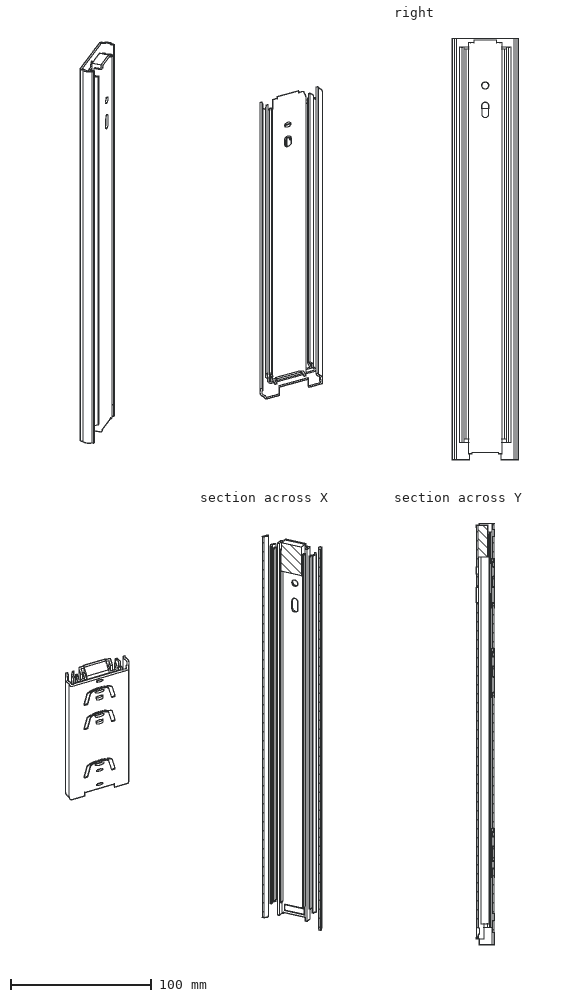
import cadquery as cq
import math

LENGTH = 300.0
OVERALL_DEPTH = 13.0
OVERALL_HALF_WIDTH = 47.0 / 2
SHEET = 1.5
HALF_SHEET = SHEET / 2

OUTER_WEB_X = HALF_SHEET
OUTER_WEB_HALF = 20.5
OUTER_BEND = 1.0
OUTER_FLANGE_Y = OUTER_WEB_HALF + OUTER_BEND
RACE_START_X = 3.0
RACE_END_X = 9.0
OUTER_LIP_X = 10.8
NOTCH_HALF_WIDTH = 11.0
NOTCH_HEIGHT = 8.7

PAD_HOLES_Z = (73.5, 201.5, 265.5)
PAD_HOLE_RADIUS = 3.3
SLOTTED_PADS_Z = PAD_HOLES_Z[1:]
SLOT_DROP = 16.5
SLOT_LENGTH = 10.8
SLOT_WIDTH = 4.8
SMALL_HOLES_Z = (19.8, PAD_HOLES_Z[0] - SLOT_DROP, 293.0)
SMALL_HOLE_RADIUS = 2.5

BEAD_WIDTH = 2.7
BEAD_DEPTH = 0.5
BEAD_TOP_RISE = 8.0
BEAD_SHOULDER_RISE = 0.5
BEAD_FOOT_DROP = 24.3
BEAD_SHOULDER_Y = 8.0
BEAD_FOOT_Y = 10.2

MIDDLE_SHEET = 1.2
MIDDLE_BOTTOM_Z = 12.3
MIDDLE_TOP_Z = 293.7
MIDDLE_WEB_X = 3.0
MIDDLE_FLANGE_Y = 17.7
MIDDLE_RACE_Y = 16.8
MIDDLE_RACE_START_X = 4.8
MIDDLE_RACE_END_X = 9.3
MIDDLE_TIP_X = 12.3
MIDDLE_TIP_Y = 15.3
ACCESS_BOTTOM_Z = 250.2
ACCESS_TOP_Z = 271.5
ACCESS_HALF_WIDTH = 4.5

INNER_BOTTOM_Z = 4.2
INNER_TOP_Z = 298.8
INNER_SHOULDER_Z = 297.0
INNER_TAB_HALF_WIDTH = 8.0
INNER_WEB_X = OVERALL_DEPTH - HALF_SHEET
INNER_FLANGE_Y = 11.0
INNER_FLANGE_END_X = 7.5
WEB_RELIEF_HEIGHT = 1.0
WEB_RELIEF_HALF_WIDTH = 9.3
LEDGE_HALF_WIDTH = 7.8
LEDGE_BOTTOM_Z = 7.0
LEDGE_TOP_Z = 12.0
LEDGE_RISE = 1.0
INNER_HOLE_Z = 266.5
INNER_HOLE_RADIUS = 2.5

RETAINER_SHEET = 1.2
RETAINER_BOTTOM_Z = 15.0
RETAINER_TOP_Z = 292.5
RETAINER_WEB_X = 4.5
RETAINER_OUTER_Y = 14.5
RETAINER_INNER_Y = 9.0
RETAINER_ARM_X = 9.5

BLOCK_X = 4.5
BLOCK_HALF_WIDTH = 8.0
BLOCK_BOTTOM_Z = 276.0
BLOCK_TOP_Z = INNER_TOP_Z


def line(start, end):
    return cq.Edge.makeLine(cq.Vector(*start), cq.Vector(*end))


def arc(start, middle, end):
    return cq.Edge.makeThreePointArc(cq.Vector(*start), cq.Vector(*middle), cq.Vector(*end))


def lines(points):
    return [line(a, b) for a, b in zip(points, points[1:])]


def mirror_y(edge):
    return edge.mirror("XZ")


def rolled_section(edges, thickness, heights, depths):
    """Sheet of even thickness along a centre line in XY, raised between two heights.

    The ends of the centre line run past the two depths (values of X), which cut them square.
    """
    bottom_z, top_z = heights
    start_x, end_x = depths
    height = top_z - bottom_z
    outline = cq.Wire.assembleEdges(edges).offset2D(thickness / 2)
    sheet = cq.Workplane("XY").add(outline).toPending().extrude(height)
    span = (end_x - start_x, 2 * OVERALL_HALF_WIDTH, height)
    kept = cq.Workplane("XY").box(*span, centered=(False, True, False)).translate((start_x, 0, 0))
    return sheet.intersect(kept).translate((0, 0, bottom_z))


def channel_section(half_edges, web_x, web_half, thickness, heights, depths):
    """Channel from the edges of its +Y flange, their mirror images and the web between them."""
    web = line((web_x, -web_half), (web_x, web_half))
    edges = half_edges + [web] + [mirror_y(edge) for edge in half_edges]
    return rolled_section(edges, thickness, heights, depths)


def across_x(start_x, z):
    """Plane facing +X at start_x, with local x along Y and local y along Z."""
    return cq.Workplane(cq.Plane(origin=(start_x, 0, z), xDir=(0, 1, 0), normal=(1, 0, 0)))


def pad_bead(start_x, hole_z):
    """Arched band with two splayed legs and rounded feet, one bead depth thick from start_x."""
    foot = (BEAD_FOOT_Y, -BEAD_FOOT_DROP)
    shoulder = (BEAD_SHOULDER_Y, BEAD_SHOULDER_RISE)
    top = (0, BEAD_TOP_RISE)
    far_shoulder = (-BEAD_SHOULDER_Y, BEAD_SHOULDER_RISE)
    far_foot = (-BEAD_FOOT_Y, -BEAD_FOOT_DROP)
    path = [line(foot, shoulder), arc(shoulder, top, far_shoulder), line(far_shoulder, far_foot)]
    base = across_x(start_x, hole_z)
    band = cq.Wire.assembleEdges(path).offset2D(BEAD_WIDTH / 2)
    placed_band = [wire.moved(base.plane.location) for wire in band]
    return base.add(placed_band).toPending().extrude(BEAD_DEPTH)


def make_outer_channel():
    bend_start = (OUTER_WEB_X, OUTER_WEB_HALF)
    bend_middle = (
        OUTER_WEB_X + OUTER_BEND * (1 - math.sqrt(0.5)),
        OUTER_WEB_HALF + OUTER_BEND * math.sqrt(0.5),
    )
    bend_end = (OUTER_WEB_X + OUTER_BEND, OUTER_FLANGE_Y)
    race_start = (RACE_START_X, OUTER_FLANGE_Y)
    race_top = ((RACE_START_X + RACE_END_X) / 2, OVERALL_HALF_WIDTH - HALF_SHEET)
    race_end = (RACE_END_X, OUTER_FLANGE_Y)
    flange = [
        arc(bend_start, bend_middle, bend_end),
        line(bend_end, race_start),
        arc(race_start, race_top, race_end),
        line(race_end, (OUTER_LIP_X + SHEET, OUTER_FLANGE_Y)),
    ]
    body = channel_section(
        flange, OUTER_WEB_X, OUTER_WEB_HALF, SHEET, (0, LENGTH), (0, OUTER_LIP_X)
    )

    notch = across_x(0, NOTCH_HEIGHT / 2).rect(2 * NOTCH_HALF_WIDTH, NOTCH_HEIGHT).extrude(SHEET)
    body = body.cut(notch)
    for z in PAD_HOLES_Z:
        body = body.cut(pad_bead(0, z)).union(pad_bead(SHEET, z))
        body = body.cut(across_x(0, z).circle(PAD_HOLE_RADIUS).extrude(SHEET))
    for z in SLOTTED_PADS_Z:
        slot = across_x(0, z - SLOT_DROP).slot2D(SLOT_LENGTH, SLOT_WIDTH, 90).extrude(SHEET)
        body = body.cut(slot)
    for z in SMALL_HOLES_Z:
        body = body.cut(across_x(0, z).circle(SMALL_HOLE_RADIUS).extrude(SHEET))
    return body


def make_middle_channel():
    race_start = (MIDDLE_RACE_START_X, MIDDLE_FLANGE_Y)
    race_middle = ((MIDDLE_RACE_START_X + MIDDLE_RACE_END_X) / 2, MIDDLE_RACE_Y)
    race_end = (MIDDLE_RACE_END_X, MIDDLE_FLANGE_Y)
    flange = [
        line((MIDDLE_WEB_X, MIDDLE_RACE_Y), race_start),
        arc(race_start, race_middle, race_end),
        line(race_end, (MIDDLE_TIP_X + MIDDLE_SHEET, MIDDLE_TIP_Y)),
    ]
    body = channel_section(
        flange, MIDDLE_WEB_X, MIDDLE_RACE_Y, MIDDLE_SHEET,
        (MIDDLE_BOTTOM_Z, MIDDLE_TOP_Z), (0, MIDDLE_TIP_X),
    )
    access_height = ACCESS_TOP_Z - ACCESS_BOTTOM_Z
    access = (
        across_x(SHEET, ACCESS_BOTTOM_Z + access_height / 2)
        .rect(2 * ACCESS_HALF_WIDTH, access_height)
        .extrude(2 * (MIDDLE_WEB_X - SHEET))
    )
    return body.cut(access)


def make_inner_channel():
    flange = [line((INNER_WEB_X, INNER_FLANGE_Y), (INNER_FLANGE_END_X - SHEET, INNER_FLANGE_Y))]
    body = channel_section(
        flange, INNER_WEB_X, INNER_FLANGE_Y, SHEET,
        (INNER_BOTTOM_Z, INNER_TOP_Z), (INNER_FLANGE_END_X, OVERALL_DEPTH),
    )

    shoulder = cq.Workplane("XY").box(
        OVERALL_DEPTH, OVERALL_HALF_WIDTH, INNER_TOP_Z - INNER_SHOULDER_Z, centered=False
    ).translate((0, INNER_TAB_HALF_WIDTH, INNER_SHOULDER_Z))
    body = body.cut(shoulder).cut(shoulder.mirror("XZ"))

    web_inside = INNER_WEB_X - HALF_SHEET
    relief = (
        across_x(web_inside, INNER_BOTTOM_Z + WEB_RELIEF_HEIGHT / 2)
        .rect(2 * WEB_RELIEF_HALF_WIDTH, WEB_RELIEF_HEIGHT)
        .extrude(SHEET)
    )
    ledge = (
        cq.Workplane("XZ", origin=(web_inside, LEDGE_HALF_WIDTH, 0))
        .moveTo(0, LEDGE_BOTTOM_Z)
        .lineTo(-LEDGE_RISE, LEDGE_BOTTOM_Z + LEDGE_RISE)
        .lineTo(-LEDGE_RISE, LEDGE_TOP_Z)
        .lineTo(0, LEDGE_TOP_Z)
        .close()
        .extrude(2 * LEDGE_HALF_WIDTH)
    )
    body = body.cut(relief).union(ledge)

    hole = across_x(web_inside, INNER_HOLE_Z).circle(INNER_HOLE_RADIUS).extrude(SHEET)
    slot_z = PAD_HOLES_Z[-1] - SLOT_DROP
    slot = across_x(web_inside, slot_z).slot2D(SLOT_LENGTH, SLOT_WIDTH, 90).extrude(SHEET)
    return body.cut(hole).cut(slot)


def make_retainer(side):
    """C-shaped strip holding the balls between the middle and inner flanges, on side +1 or -1."""
    path = lines([
        (RETAINER_ARM_X + RETAINER_SHEET, side * RETAINER_OUTER_Y),
        (RETAINER_WEB_X, side * RETAINER_OUTER_Y),
        (RETAINER_WEB_X, side * RETAINER_INNER_Y),
        (RETAINER_ARM_X + RETAINER_SHEET, side * RETAINER_INNER_Y),
    ])
    heights = (RETAINER_BOTTOM_Z, RETAINER_TOP_Z)
    return rolled_section(path, RETAINER_SHEET, heights, (0, RETAINER_ARM_X))


def make_stop_block():
    """Block fixed against the inside of the inner channel web at its upper end."""
    depth = INNER_WEB_X - HALF_SHEET - BLOCK_X
    height = BLOCK_TOP_Z - BLOCK_BOTTOM_Z
    return across_x(BLOCK_X, BLOCK_BOTTOM_Z + height / 2).rect(2 * BLOCK_HALF_WIDTH, height).extrude(depth)


outer_channel = make_outer_channel()
middle_channel = make_middle_channel()
inner_channel = make_inner_channel()
retainers = [make_retainer(side) for side in (1, -1)]
stop_block = make_stop_block()

result = cq.Compound.makeCompound([
    outer_channel.val(),
    middle_channel.val(),
    inner_channel.val(),
    *[retainer.val() for retainer in retainers],
    stop_block.val(),
])